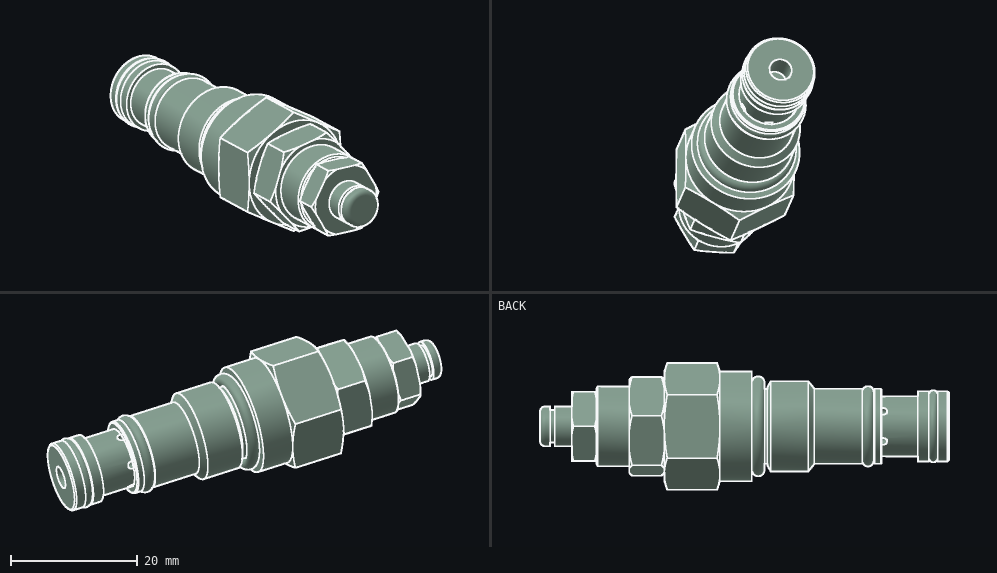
import cadquery as cq
import math


nose_end = 4.9
body_start = 10.6
cone_start = 21.3
thread_start = 22.3
thread_end = 28.2
relief_start = 28.75
flange_start = 31.2
hex_start = 36.25
hex_end = 45.05
adapter_hex_end = 50.65
locknut_start = 55.8
locknut_end = 59.7
screw_groove_start = 62.4
screw_groove_end = 63.1
overall_length = 64.75

nose_diameter = 11.15
nose_chamfer = 0.25
stem_diameter = 9.6
inlet_diameter = 3.55
cross_hole_diameter = 1.2
cross_hole_x = 10.4
cross_hole_count = 6
cross_hole_end_radius = 4.35
inlet_depth = nose_end
stem_end = 11.3

sleeve_diameter = 11.9
sleeve_chamfer = 0.2
thread_diameter = 14.3
thread_runout_diameter = 12.4
flange_diameter = 17.4
body_flats = flange_diameter
body_hex_turn = 90
body_hex_rim_diameter = flange_diameter
body_hex_chamfer = 0.45

adapter_flats = 14.3
adapter_turn = 11.6
adapter_hex_rim_diameter = 14.65
adapter_hex_chamfer = 0.45
adapter_end_diameter = 12.7
adapter_end_rim_diameter = 11.9
adapter_end_chamfer = 0.2

locknut_flats = 11.0
locknut_turn = 0.0
locknut_rim_diameter = 11.5
locknut_chamfer = 0.25

screw_diameter = 6.35
screw_groove_diameter = 5.2
screw_tip_radius = 0.85

nose_ring_section = 1.35
nose_ring_diameter = 11.45
nose_groove_start = 1.8
nose_groove_end = nose_groove_start + nose_ring_section
nose_ring_x = (nose_groove_start + nose_groove_end) / 2
sleeve_ring_section = 1.8
sleeve_ring_diameter = 12.75
sleeve_groove_start = 11.8
sleeve_groove_end = 13.7
sleeve_ring_x = sleeve_groove_end - sleeve_ring_section / 2
flange_ring_section = 2.0
flange_ring_diameter = 15.85
flange_ring_x = flange_start - flange_ring_section / 2
relief_diameter = flange_ring_diameter - 2 * flange_ring_section


def cylinder(diameter, start, end):
    """Round bar along X between two stations."""
    return cq.Workplane("YZ", origin=(start, 0, 0)).circle(diameter / 2).extrude(end - start)


def cone(start_diameter, end_diameter, start, end):
    """Conical length along X between two stations."""
    return cq.Workplane(
        cq.Solid.makeCone(
            start_diameter / 2, end_diameter / 2, end - start, cq.Vector(start, 0, 0), cq.Vector(1, 0, 0)
        )
    )


def ring_groove(outer_diameter, floor_diameter, start, end):
    """Material to cut away for a square groove around a round bar."""
    return cylinder(outer_diameter, start, end).cut(cylinder(floor_diameter, start, end))


def hexagon(flats, turn, start, end, rim_diameter, chamfer):
    """Hexagonal prism with conically chamfered corners; at zero turn two corners lie on Y."""
    half_corner_angle = math.pi / 6
    corners = flats / math.cos(half_corner_angle)
    prism = cq.Workplane("YZ", origin=(start, 0, 0)).polygon(6, corners).extrude(end - start)
    prism = prism.rotate((0, 0, 0), (1, 0, 0), turn)
    envelope = (
        cone(rim_diameter, corners, start, start + chamfer)
        .union(cylinder(corners, start + chamfer, end - chamfer))
        .union(cone(corners, rim_diameter, end - chamfer, end))
    )
    return prism.intersect(envelope)


def o_ring(outer_diameter, section, center_x):
    """Torus around the X axis."""
    return cq.Workplane(
        cq.Solid.makeTorus(
            (outer_diameter - section) / 2, section / 2, cq.Vector(center_x, 0, 0), cq.Vector(1, 0, 0)
        )
    )


def make_cage():
    nose = cylinder(nose_diameter, 0, nose_end).faces("<X").chamfer(nose_chamfer)
    floor_diameter = nose_ring_diameter - 2 * nose_ring_section
    nose = nose.cut(ring_groove(nose_diameter, floor_diameter, nose_groove_start, nose_groove_end))
    cage = nose.union(cylinder(stem_diameter, nose_end, stem_end))
    cage = cage.cut(cylinder(inlet_diameter, 0, inlet_depth))
    hole_radius = cross_hole_diameter / 2
    hole_end = cq.Workplane("XY", origin=(cross_hole_x, 0, cross_hole_end_radius))
    cross_hole = hole_end.circle(hole_radius).extrude(stem_diameter).union(hole_end.sphere(hole_radius))
    for index in range(cross_hole_count):
        angle = index * 360 / cross_hole_count
        cage = cage.cut(cross_hole.rotate((0, 0, 0), (1, 0, 0), angle))
    return cage


def make_body():
    sleeve = cylinder(sleeve_diameter, body_start, cone_start).faces("<X").chamfer(sleeve_chamfer)
    floor_diameter = sleeve_ring_diameter - 2 * sleeve_ring_section
    sleeve = sleeve.cut(
        ring_groove(sleeve_diameter, floor_diameter, sleeve_groove_start, sleeve_groove_end)
    )
    thread = (
        cone(sleeve_diameter, thread_diameter, cone_start, thread_start)
        .union(cylinder(thread_diameter, thread_start, thread_end))
        .union(cone(thread_diameter, thread_runout_diameter, thread_end, relief_start))
    )
    relief = cylinder(relief_diameter, relief_start, flange_start)
    flange = cylinder(flange_diameter, flange_start, hex_start)
    wrench_hex = hexagon(
        body_flats, body_hex_turn, hex_start, hex_end, body_hex_rim_diameter, body_hex_chamfer
    )
    body = sleeve.union(thread).union(relief).union(flange).union(wrench_hex)
    return body.cut(cylinder(stem_diameter, body_start, stem_end))


def make_adapter():
    wrench_hex = hexagon(
        adapter_flats, adapter_turn, hex_end, adapter_hex_end, adapter_hex_rim_diameter, adapter_hex_chamfer
    )
    chamfer_start = locknut_start - adapter_end_chamfer
    round_end = cylinder(adapter_end_diameter, adapter_hex_end, chamfer_start)
    end_chamfer = cone(adapter_end_diameter, adapter_end_rim_diameter, chamfer_start, locknut_start)
    adapter = wrench_hex.union(round_end).union(end_chamfer)
    return adapter.cut(cylinder(screw_diameter, adapter_hex_end, locknut_start))


def make_locknut():
    nut = hexagon(
        locknut_flats, locknut_turn, locknut_start, locknut_end, locknut_rim_diameter, locknut_chamfer
    )
    return nut.cut(cylinder(screw_diameter, locknut_start, locknut_end))


def make_screw():
    screw = cylinder(screw_diameter, adapter_hex_end, overall_length)
    screw = screw.faces(">X").edges().fillet(screw_tip_radius)
    return screw.cut(
        ring_groove(screw_diameter, screw_groove_diameter, screw_groove_start, screw_groove_end)
    )


cage = make_cage()
body = make_body()
adapter = make_adapter()
locknut = make_locknut()
screw = make_screw()
o_rings = [
    o_ring(diameter, section, center_x)
    for diameter, section, center_x in (
        (nose_ring_diameter, nose_ring_section, nose_ring_x),
        (sleeve_ring_diameter, sleeve_ring_section, sleeve_ring_x),
        (flange_ring_diameter, flange_ring_section, flange_ring_x),
    )
]

result = cq.Compound.makeCompound(
    [
        cage.val(),
        body.val(),
        adapter.val(),
        locknut.val(),
        screw.val(),
        *[ring.val() for ring in o_rings],
    ]
)